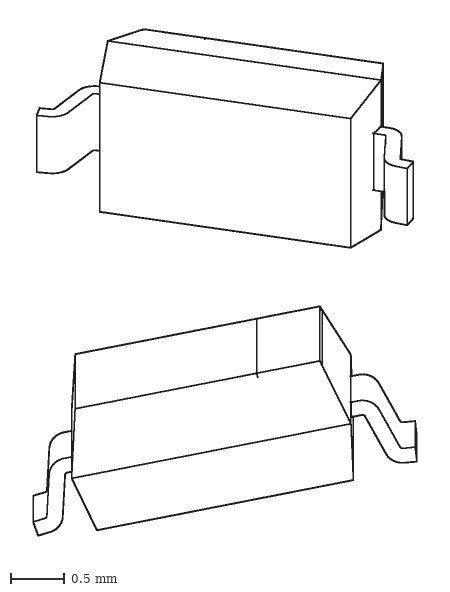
import cadquery as cq
import math

span_x = 3.68
span_y = 1.35

housing_length = 2.69
housing_height = 1.6
half_depth = 0.622
back_draft = 15.0
front_draft = 10.0

mark_edge_x = -0.57
mark_depth = 0.045

lead_width = 0.607
lead_thickness = 0.15
lead_embed = 0.1
bend_inner_radius = 0.025
foot_length = 0.118
leg_angle = 75.0
foot_droop = 6.0


def make_housing_blank():
    """Both drafted halves, without recesses."""
    front = (
        cq.Workplane("XZ")
        .rect(housing_length, housing_height)
        .extrude(half_depth, taper=front_draft)
    )
    back = (
        cq.Workplane("ZX")
        .rect(housing_height, housing_length)
        .extrude(half_depth, taper=back_draft)
    )
    return front.union(back)


def make_mark(blank):
    """Plate as tall as the back face, its -X end following the drafted wall."""
    back_inset = half_depth * math.tan(math.radians(back_draft))
    mark_height = housing_height - 2 * back_inset
    wall_x = -housing_length / 2
    plate = cq.Workplane("XY").box(
        mark_edge_x - wall_x, mark_depth, mark_height, centered=(False, False, True)
    )
    plate = plate.translate((wall_x, half_depth - mark_depth, 0))
    return plate.intersect(blank)


def polar(length, angle):
    """X and Y components of a step along a heading in degrees."""
    heading = math.radians(angle)
    return length * math.cos(heading), length * math.sin(heading)


def bend_step(radius, start_angle, end_angle):
    """Chord of a bend that turns from one heading to another."""
    half_turn = math.radians(abs(end_angle - start_angle) / 2)
    return polar(2 * radius * math.sin(half_turn), (start_angle + end_angle) / 2)


def make_lead():
    """The +X lead, a flat strip swept along its bent centerline."""
    half_thickness = lead_thickness / 2
    bend_radius = bend_inner_radius + half_thickness
    shoulder_bend = bend_step(bend_radius, 0, -leg_angle)
    foot_bend = bend_step(bend_radius, -leg_angle, -foot_droop)
    foot = polar(foot_length, -foot_droop)

    toe_shift, toe_rise = polar(half_thickness, 90 - foot_droop)
    toe_x = span_x / 2 - toe_shift
    toe_y = half_depth - span_y + toe_rise

    shoulder_y = -half_thickness
    leg_drop = shoulder_y + shoulder_bend[1] + foot_bend[1] + foot[1] - toe_y
    leg = polar(leg_drop / math.sin(math.radians(leg_angle)), -leg_angle)
    shoulder_x = toe_x - foot[0] - foot_bend[0] - leg[0] - shoulder_bend[0]

    root_x = housing_length / 2 - lead_embed
    centerline = (
        cq.Workplane("XY")
        .moveTo(root_x, shoulder_y)
        .lineTo(shoulder_x, shoulder_y)
        .tangentArcPoint(shoulder_bend)
        .line(*leg)
        .tangentArcPoint(foot_bend)
        .line(*foot)
    )
    return (
        cq.Workplane("YZ", origin=(root_x, shoulder_y, 0))
        .rect(lead_thickness, lead_width)
        .sweep(centerline)
    )


right_lead = make_lead()
leads = []
for turn in (0, 180):
    leads.append(right_lead.rotate((0, 0, 0), (0, 1, 0), turn))

housing_blank = make_housing_blank()
mark = make_mark(housing_blank)

housing = housing_blank.cut(mark)
for lead in leads:
    housing = housing.cut(lead)

solids = [housing.solids().val(), mark.solids().val(), *[lead.val() for lead in leads]]
result = cq.Compound.makeCompound(solids)